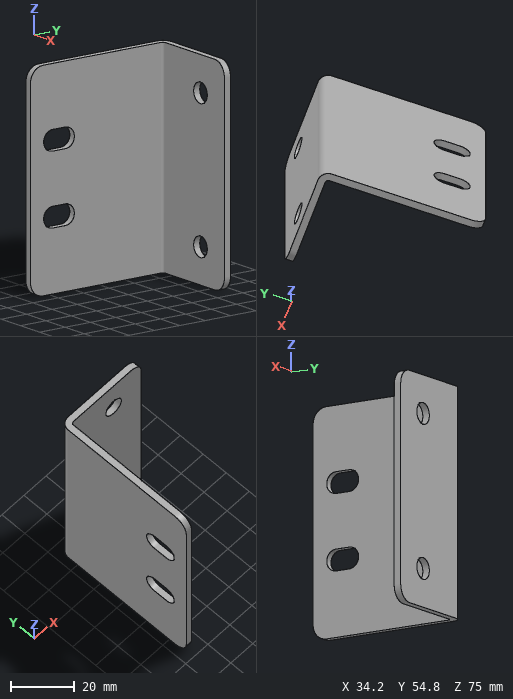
import cadquery as cq

width = 34.2
depth = 54.8
height = 75.0

thickness = 2.5
bend_inner_radius = 1.0
bend_outer_radius = bend_inner_radius + thickness
corner_radius = 5.0

hole_diameter = 7.0
hole_edge_distance = 12.5
hole_spacing = 50.0

slot_length = 12.0
slot_width = 7.0
slot_edge_distance = 11.25
slot_spacing = 25.0


def bent_sheet():
    """L profile with its outer bend corner at the origin, centred on Z."""
    profile = (
        cq.Workplane("XY")
        .moveTo(0, -depth)
        .lineTo(thickness, -depth)
        .lineTo(thickness, -thickness)
        .lineTo(width, -thickness)
        .lineTo(width, 0)
        .lineTo(0, 0)
        .close()
    )
    sheet = profile.extrude(height / 2, both=True)
    outer_edge = cq.selectors.NearestToPointSelector((0, 0, 0))
    inner_edge = cq.selectors.NearestToPointSelector((thickness, -thickness, 0))
    sheet = sheet.edges("|Z").edges(outer_edge).fillet(bend_outer_radius)
    return sheet.edges("|Z").edges(inner_edge).fillet(bend_inner_radius)


def round_free_corners(sheet):
    """Round the two outer corners at the free end of each flange."""
    sheet = sheet.faces(">X").edges("|Y").fillet(corner_radius)
    return sheet.faces("<Y").edges("|X").fillet(corner_radius)


def hole_cutters():
    return (
        cq.Workplane("XZ")
        .center(width - hole_edge_distance, 0)
        .rarray(0.75, hole_spacing, 1, 2)
        .circle(hole_diameter / 2)
        .extrude(thickness)
    )


def slot_cutters():
    return (
        cq.Workplane("YZ")
        .center(slot_edge_distance - depth, 0)
        .rarray(0.75, slot_spacing, 1, 2)
        .slot2D(slot_length, slot_width)
        .extrude(thickness)
    )


bracket = round_free_corners(bent_sheet())
result = bracket.cut(hole_cutters()).cut(slot_cutters())